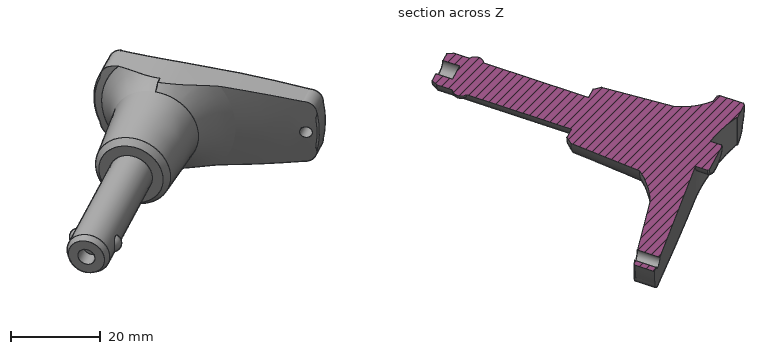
import cadquery as cq

total_length = 66.9

pin_radius = 10.0 / 2
tip_radius = 4.2
tip_chamfer_length = 1.5
spindle_hole_diameter = 3.95
spindle_hole_depth = 4.0
ball_radius = 2.0
ball_reach = 6.0
ball_y = -59.95
button_radius = 8.0 / 2
button_chamfer = 0.35

hub_top_y = -14.25
hub_chamfer_y = -31.4
hub_end_y = -32.9
hub_top_radius = 10.05
hub_bottom_radius = 8.75
hub_end_radius = 7.5

grip_left = -16.85
grip_right = 35.25
left_end_x = -15.05
left_end_half_width = 7.15
left_corner_x = -12.45
left_corner_half_width = 9.6
left_corner_mid = (-14.1, 8.6)
half_width = 11.5
side_joint_x = 3.5
side_joint_half_width = 11.45
right_side_mid = (18.4, 10.05)
right_corner_x = 31.7
right_corner_half_width = 8.1
right_corner_mid = (34.05, 7.1)
right_end_x = 34.8
right_end_half_width = 4.95

hollow_start_y = -0.2
hollow_mid = (-4.4, -2.9)
hollow_end_y = -3.3

left_flare_mid = (11.5, -10.9)
left_flare_end = (14.8, -6.95)
left_rim_y = -5.95
right_flare_mid = (13.4, -10.9)
right_flare_end = (17.05, -8.75)
right_rim_y = -4.1
right_rim_radius = 40.15
left_rim_radius = 20.1

end_edge_chamfer = 0.4
lanyard_hole_diameter = 2.8
lanyard_hole_x = 32.45


def opposite(point):
    """Mirror an outline point across the long axis of the grip."""
    return (point[0], -point[1])


def grip_plan():
    """Grip outline extruded along the pin axis, down to the hub."""
    return (
        cq.Workplane("XZ")
        .moveTo(left_end_x, -left_end_half_width)
        .threePointArc((grip_left, 0), (left_end_x, left_end_half_width))
        .threePointArc(left_corner_mid, (left_corner_x, left_corner_half_width))
        .threePointArc((0, half_width), (side_joint_x, side_joint_half_width))
        .threePointArc(right_side_mid, (right_corner_x, right_corner_half_width))
        .threePointArc(right_corner_mid, (right_end_x, right_end_half_width))
        .threePointArc((grip_right, 0), (right_end_x, -right_end_half_width))
        .threePointArc(opposite(right_corner_mid), (right_corner_x, -right_corner_half_width))
        .threePointArc(opposite(right_side_mid), (side_joint_x, -side_joint_half_width))
        .threePointArc((0, -half_width), (left_corner_x, -left_corner_half_width))
        .threePointArc(opposite(left_corner_mid), (left_end_x, -left_end_half_width))
        .close()
        .extrude(-hub_top_y)
    )


def flared_half(side, flare_mid, flare_end, outer_radius, rim_y):
    """Half turn of the underside about the pin axis; side is -1 for -X, 1 for +X."""
    half = (
        cq.Workplane("XY")
        .moveTo(0, 0)
        .lineTo(0, hub_top_y)
        .lineTo(hub_top_radius, hub_top_y)
        .threePointArc(flare_mid, flare_end)
        .lineTo(outer_radius, rim_y)
        .lineTo(outer_radius, 0)
        .close()
        .revolve(180, (0, 0, 0), (0, 1, 0))
    )
    return half.rotate((0, 0, 0), (0, 1, 0), -90 * side)


def back_relief():
    """Material removed above the curved back of the grip, cut well past both sides."""
    return (
        cq.Workplane("XY")
        .moveTo(left_corner_x, 0)
        .lineTo(left_corner_x, hollow_start_y)
        .threePointArc(hollow_mid, (side_joint_x, hollow_end_y))
        .lineTo(grip_right, 0)
        .close()
        .extrude(2 * half_width, both=True)
    )


def grip():
    left = flared_half(-1, left_flare_mid, left_flare_end, left_rim_radius, left_rim_y)
    right = flared_half(1, right_flare_mid, right_flare_end, right_rim_radius, right_rim_y)
    body = grip_plan().intersect(left.union(right)).cut(back_relief())
    body = body.faces("<X").edges("<Y or >Y").chamfer(end_edge_chamfer)
    body = body.faces(">X").edges("<Y").chamfer(end_edge_chamfer)
    lanyard_hole = (
        cq.Workplane("XZ")
        .center(lanyard_hole_x, 0)
        .circle(lanyard_hole_diameter / 2)
        .extrude(-hub_top_y)
    )
    return body.cut(lanyard_hole)


def hub_and_pin():
    """Tapered hub and chamfered pin, turned about the pin axis."""
    return (
        cq.Workplane("XY")
        .moveTo(0, hub_top_y)
        .lineTo(hub_top_radius, hub_top_y)
        .lineTo(hub_bottom_radius, hub_chamfer_y)
        .lineTo(hub_end_radius, hub_end_y)
        .lineTo(pin_radius, hub_end_y)
        .lineTo(pin_radius, tip_chamfer_length - total_length)
        .lineTo(tip_radius, -total_length)
        .lineTo(0, -total_length)
        .close()
        .revolve(360, (0, 0, 0), (0, 1, 0))
    )


def release_button():
    """Button standing in the back of the grip, flush with its highest edges."""
    return (
        cq.Workplane("XZ")
        .circle(button_radius)
        .extrude(-hub_top_y)
        .faces(">Y")
        .chamfer(button_chamfer)
    )


def spindle_hole():
    return (
        cq.Workplane("XZ", origin=(0, spindle_hole_depth - total_length, 0))
        .circle(spindle_hole_diameter / 2)
        .extrude(spindle_hole_depth)
    )


result = grip().union(hub_and_pin()).union(release_button()).cut(spindle_hole())

for side in (-1, 1):
    ball_x = side * (ball_reach - ball_radius)
    ball = cq.Workplane("XY").sphere(ball_radius).translate((ball_x, ball_y, 0))
    result = result.union(ball)